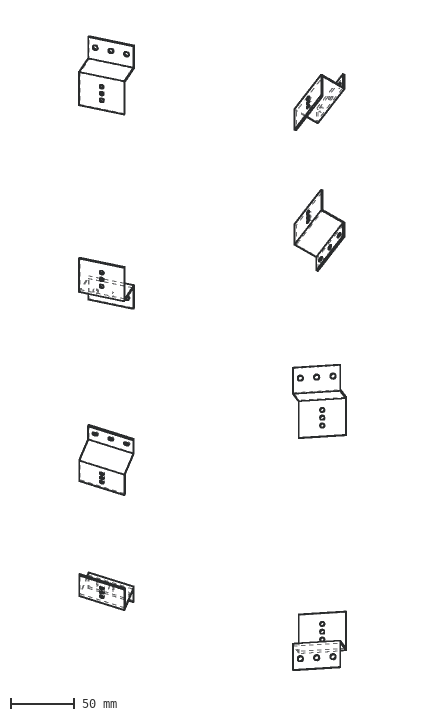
import cadquery as cq

pair_height = 248.0
width = 38.0
depth = 22.0

thickness = 1.5
flange_height = 20.0
leg_height = 31.5

flange_hole_diameter = 4.2
flange_hole_spacing = 13.1
flange_hole_inset = 9.0

leg_hole_diameter = 3.5
leg_hole_spacing = 6.5
leg_hole_offset = 16.0

hole_steps = (-1, 0, 1)

front_y = -depth / 2
rear_y = depth / 2
top_z = pair_height / 2
web_top_z = top_z - flange_height
web_bottom_z = web_top_z - thickness
leg_bottom_z = web_top_z - leg_height


def z_profile_sheet():
    """Z-shaped sheet with sharp bends."""
    flange_front_y = rear_y - thickness
    leg_rear_y = front_y + thickness
    outline = [
        (rear_y, top_z),
        (rear_y, web_bottom_z),
        (leg_rear_y, web_bottom_z),
        (leg_rear_y, leg_bottom_z),
        (front_y, leg_bottom_z),
        (front_y, web_top_z),
        (flange_front_y, web_top_z),
        (flange_front_y, top_z),
    ]
    return cq.Workplane("YZ").polyline(outline).close().extrude(width / 2, both=True)


def hole_cutters(centers, diameter):
    """Cylinders along Y, long enough to pass through the whole bracket, at (x, z) centers."""
    return (
        cq.Workplane("XZ")
        .pushPoints(centers)
        .circle(diameter / 2)
        .extrude(depth, both=True)
    )


def upper_bracket():
    """Z-shaped bracket with three holes in the rear flange and three in the front leg."""
    flange_hole_z = top_z - flange_hole_inset
    flange_centers = [(step * flange_hole_spacing, flange_hole_z) for step in hole_steps]
    leg_middle_z = web_top_z - leg_hole_offset
    leg_centers = [(0, leg_middle_z + step * leg_hole_spacing) for step in hole_steps]
    return (
        z_profile_sheet()
        .cut(hole_cutters(flange_centers, flange_hole_diameter))
        .cut(hole_cutters(leg_centers, leg_hole_diameter))
    )


brackets = []
for is_lower in (False, True):
    bracket = upper_bracket()
    if is_lower:
        bracket = bracket.mirror("XY")
    brackets.append(bracket.val())

result = cq.Compound.makeCompound([bracket.Solids()[0] for bracket in brackets])